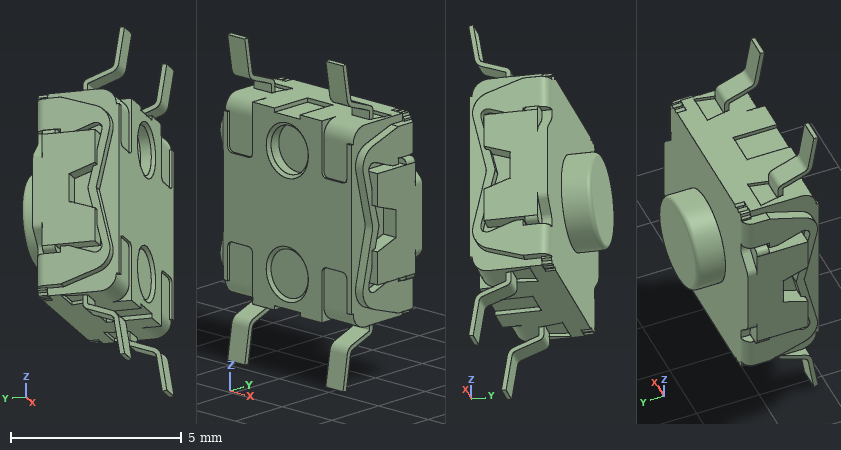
import cadquery as cq
import math


body_width = 5.17
body_height = 6.2
body_depth = 2.2
half_width = body_width / 2
half_height = body_height / 2

sheet = 0.3
cover_face = body_depth + sheet
wall_outer = half_width + sheet
wall_end = 2.86
bend_start = 1.89
cover_lip = 2.65
tooth_depth = 0.07
waist_end = 1.71
cover_tab_half = 0.99

wall_straight_low = 1.7
wall_corner = (0.06, 2.32)
wall_valley = 0.6
wall_corner_radius = 0.64
valley_radius = 0.4
opening_top = 1.46
opening_corner = (0.34, 2.1)
opening_valley = 0.86
opening_radius = 0.2

tab_outer = half_height
tab_half = 1.71
tab_low = 0.57
shoulder_low = 1.81
shoulder_half = 1.88
shoulder_radius = 0.18
relief_low = 1.71
notch_roof = 1.37
notch_roof_half = 0.42
notch_mouth_half = 0.69

button_diameter = 2.9
button_top = 3.41
button_round = 0.14

hole_diameter = 1.5
hole_offset = 1.9
hole_chamfer = 0.1
upper_hole_depth = 0.43
lower_hole_depth = 0.1

recess_inner = 1.4
recess_outer = 2.4
recess_low = 1.37
recess_depth = 0.08
recess_round = 0.5
recess_corner_radius = 0.18

end_notch_width = 1.03
end_notch_length = 1.41
end_notch_depth = 0.13

lead_offset = 1.98
lead_width = 0.7
lead_thickness = 0.15
lead_y = 1.13
lead_embed = 0.2
first_bend_z = 3.43
first_bend_radius = 0.12
second_bend_radius = 0.26
lead_slope = 20
tip_tilt = 9.3
tip_low = -0.09
lead_reach = 5.02
pocket_top = 1.81
pocket_top_width = 0.98
pocket_depth = 0.1


def box(x0, x1, y0, y1, z0, z1):
    return cq.Workplane("XY").box(x1 - x0, y1 - y0, z1 - z0, centered=False).translate((x0, y0, z0))


def both_sides(solid):
    return solid.union(solid.mirror("YZ"))


def both_ends(solid):
    return solid.union(solid.mirror("XY"))


def slab(outline, y_start, y_end):
    """Extrude an XZ outline from y_start to y_end."""
    return outline.extrude(y_start - y_end).translate((0, y_start, 0))


def side_slab(outline, x_start, x_end):
    """Extrude a YZ outline from x_start to x_end."""
    return outline.extrude(x_end - x_start).translate((x_start, 0, 0))


def make_corner_recess():
    """Sunken pad at one corner of the mounting face, running out over a rounded edge."""
    corner_z = half_height - recess_round
    corner_y = recess_depth + recess_round
    block = box(recess_inner, half_width, 0, corner_y, corner_z, half_height)
    edge = (
        cq.Workplane("YZ")
        .center(corner_y, corner_z)
        .circle(recess_round)
        .extrude(half_width)
    )
    pad = box(recess_inner, recess_outer, 0, recess_depth, recess_low, half_height)
    pad = pad.edges("|Y and <Z").fillet(recess_corner_radius)
    return block.cut(edge).union(pad.cut(edge))


def make_hole(z, depth):
    """Blind locating hole with a chamfered mouth."""
    radius = hole_diameter / 2
    center = cq.Vector(0, 0, z)
    inward = cq.Vector(0, 1, 0)
    bore = cq.Solid.makeCylinder(radius, depth, center, inward)
    mouth = cq.Solid.makeCone(radius + hole_chamfer, radius, hole_chamfer, center, inward)
    return cq.Workplane("XY").add(bore.fuse(mouth))


def make_body():
    body = box(-half_width, half_width, 0, body_depth, -half_height, half_height)
    body = body.cut(both_ends(both_sides(make_corner_recess())))
    end_notch = box(
        -end_notch_width / 2, end_notch_width / 2, 0, end_notch_length,
        half_height - end_notch_depth, half_height,
    )
    pocket = (
        cq.Workplane("XY")
        .polyline([
            (lead_offset - pocket_top_width / 2, pocket_top),
            (lead_offset + pocket_top_width / 2, pocket_top),
            (lead_offset + lead_width / 2, lead_y),
            (lead_offset - lead_width / 2, lead_y),
        ])
        .close()
        .extrude(pocket_depth)
        .translate((0, 0, half_height - pocket_depth))
    )
    body = body.cut(both_ends(end_notch)).cut(both_ends(both_sides(pocket)))
    body = body.cut(make_hole(hole_offset, upper_hole_depth))
    return body.cut(make_hole(-hole_offset, lower_hole_depth))


def make_cover():
    """Cover plate with toothed corners, waisted beside the tabs and rolled over into the walls."""
    tooth_root = half_height - tooth_depth
    quarter = (
        cq.Workplane("XZ")
        .lineTo(0, half_height)
        .lineTo(2.13, half_height)
        .lineTo(2.2, tooth_root)
        .lineTo(2.28, half_height)
        .lineTo(2.34, half_height)
        .lineTo(2.42, tooth_root)
        .lineTo(2.49, half_height)
        .lineTo(2.57, 3.08)
        .lineTo(2.59, 2.98)
        .lineTo(cover_lip, 2.92)
        .lineTo(cover_lip, wall_end)
        .lineTo(half_width, wall_end)
        .lineTo(half_width, waist_end)
        .tangentArcPoint((2.66, 1.52), relative=False)
        .lineTo(3.03, 1.18)
        .tangentArcPoint((tab_outer, cover_tab_half), relative=False)
        .lineTo(tab_outer, 0)
        .close()
    )
    bend = (
        cq.Workplane("XY", origin=(half_width, body_depth, bend_start))
        .lineTo(sheet, 0)
        .radiusArc((0, sheet), -sheet)
        .close()
        .extrude(wall_end - bend_start)
    )
    return both_ends(both_sides(slab(quarter, body_depth, cover_face).union(bend)))


def mirrored_outline(upper, valley):
    """Closed YZ outline from its upper points, the valley on Z = 0 and the mirrored lower points."""
    lower = [(y, -z) for y, z in reversed(upper)]
    return cq.Workplane("YZ").polyline(upper + [(valley, 0)] + lower).close()


def make_wall(rounded_valley):
    """Side wall on +X: an M-shaped plate with an opening behind the tab."""
    outer = mirrored_outline(
        [(body_depth, wall_end), (wall_straight_low, wall_end), wall_corner], wall_valley
    )
    wall = side_slab(outer, half_width, wall_outer).edges("|X and <Y").fillet(wall_corner_radius)
    if rounded_valley:
        valley_middle = (half_width + sheet / 2, wall_valley, 0)
        wall = wall.edges(cq.NearestToPointSelector(valley_middle)).fillet(valley_radius)
    inner = mirrored_outline([(opening_top, tab_half), opening_corner], opening_valley)
    opening = side_slab(inner, half_width, wall_outer).edges("|X and <Y").fillet(opening_radius)
    relief = box(half_width, wall_outer, relief_low, body_depth, -bend_start, bend_start)
    return wall.cut(opening).cut(relief)


def make_tab():
    """Tab on +X with a flared notch in its lower edge and a rounded shoulder under the cover."""
    tab = box(half_width, tab_outer, tab_low, body_depth, -tab_half, tab_half)
    notch = side_slab(
        cq.Workplane("YZ")
        .polyline([
            (tab_low, notch_mouth_half),
            (notch_roof, notch_roof_half),
            (notch_roof, -notch_roof_half),
            (tab_low, -notch_mouth_half),
        ])
        .close(),
        half_width, tab_outer,
    )
    shoulder = box(half_width, tab_outer, shoulder_low, body_depth, -shoulder_half, shoulder_half)
    shoulder = shoulder.edges("|Y and >X").fillet(shoulder_radius)
    return tab.cut(notch).union(shoulder)


def make_button():
    button = cq.Workplane("XZ").circle(button_diameter / 2)
    return slab(button, body_depth, button_top).faces(">Y").edges().fillet(button_round)


def make_lead():
    """Flat lead that leaves the body along +Z and bends twice towards the mounting face."""
    slope = math.radians(lead_slope)
    tilt = math.radians(tip_tilt)
    along_slope = (-math.cos(slope), math.sin(slope))
    along_tip = (-math.sin(tilt), math.cos(tilt))

    tip = (
        tip_low + lead_thickness / 2 * math.cos(tilt),
        lead_reach - lead_thickness / 2 * math.sin(tilt),
    )
    first = (lead_y, first_bend_z)
    gap_y = tip[0] - first[0]
    gap_z = tip[1] - first[1]
    turn = along_slope[0] * along_tip[1] - along_slope[1] * along_tip[0]
    run = (gap_y * along_tip[1] - gap_z * along_tip[0]) / turn
    second = (first[0] + run * along_slope[0], first[1] + run * along_slope[1])

    setback_1 = first_bend_radius * math.tan((math.pi / 2 - slope) / 2)
    setback_2 = second_bend_radius * math.tan((math.pi / 2 - tilt - slope) / 2)

    def shifted(point, direction, distance):
        return (point[0] + direction[0] * distance, point[1] + direction[1] * distance)

    root_z = half_height - lead_embed
    path = (
        cq.Workplane("YZ", origin=(lead_offset, 0, 0))
        .moveTo(lead_y, root_z)
        .lineTo(lead_y, first_bend_z - setback_1)
        .tangentArcPoint(shifted(first, along_slope, setback_1), relative=False)
        .lineTo(*shifted(second, along_slope, -setback_2))
        .tangentArcPoint(shifted(second, along_tip, setback_2), relative=False)
        .lineTo(*tip)
    )
    section = cq.Workplane("XY", origin=(lead_offset, lead_y, root_z)).rect(lead_width, lead_thickness)
    return section.sweep(path)


result = (
    make_body()
    .union(make_cover())
    .union(make_wall(rounded_valley=True))
    .union(make_wall(rounded_valley=False).mirror("YZ"))
    .union(both_sides(make_tab()))
    .union(make_button())
    .union(both_ends(both_sides(make_lead())))
)